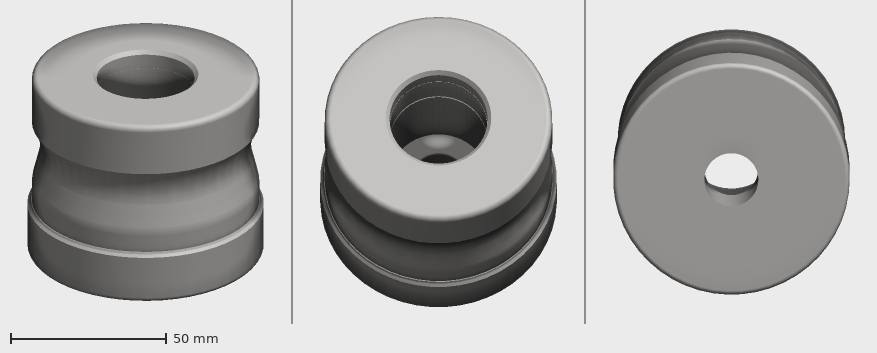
import cadquery as cq
import math

total_height = 63.0
base_radius = 38.1
base_height = 17.7
body_radius = 36.65

base_bottom_fillet = 1.5
base_chamfer_start = 16.2
base_chamfer = 0.85
base_rim_inset = 0.3
base_hole_radius = 8.7
base_hole_chamfer = 0.3

top_fillet = 1.9
shoulder_z = 45.95
throat_radius = 34.0
waist_arc_radius = 15.0
cone_angle = math.radians(14)
blend_radius = 10.0

mouth_chamfer = 1.2
counterbore_radius = 15.8
counterbore_depth = 6.0
bore_radius = 15.7
groove_depth = 0.3
groove_width = 0.85
groove_top_z = 46.4


def make_base():
    """Round base with a softened rim and a chamfered centre hole."""
    chamfer_end_radius = base_radius - base_chamfer
    chamfer_end_z = base_chamfer_start + base_chamfer
    fillet_mid = base_bottom_fillet * (1 - math.sqrt(0.5))
    profile = (
        cq.Workplane("XZ")
        .moveTo(base_hole_radius, 0)
        .lineTo(base_radius - base_bottom_fillet, 0)
        .threePointArc((base_radius - fillet_mid, fillet_mid), (base_radius, base_bottom_fillet))
        .lineTo(base_radius, base_chamfer_start)
        .lineTo(chamfer_end_radius, chamfer_end_z)
        .lineTo(chamfer_end_radius - base_rim_inset, base_height)
        .lineTo(base_hole_radius + base_hole_chamfer, base_height)
        .lineTo(base_hole_radius, base_height - base_hole_chamfer)
        .close()
    )
    return profile.revolve(360, (0, 0, 0), (0, 1, 0))


def make_body_blank():
    """Waisted solid of revolution standing on the base."""
    waist_center_r = throat_radius + waist_arc_radius
    waist_center_z = shoulder_z - math.sqrt(
        waist_arc_radius**2 - (waist_center_r - body_radius) ** 2
    )

    cone_top_r = waist_center_r - waist_arc_radius * math.cos(cone_angle)
    cone_top_z = waist_center_z - waist_arc_radius * math.sin(cone_angle)
    blend_center_r = body_radius - blend_radius
    cone_bottom_r = blend_center_r + blend_radius * math.cos(cone_angle)
    cone_bottom_z = cone_top_z - (cone_bottom_r - cone_top_r) / math.tan(cone_angle)
    blend_center_z = cone_bottom_z - blend_radius * math.sin(cone_angle)
    blend_mid = (
        blend_center_r + blend_radius * math.cos(cone_angle / 2),
        blend_center_z + blend_radius * math.sin(cone_angle / 2),
    )

    fillet_mid = top_fillet * (1 - math.sqrt(0.5))
    profile = (
        cq.Workplane("XZ")
        .moveTo(0, base_height)
        .lineTo(body_radius, base_height)
        .lineTo(body_radius, blend_center_z)
        .threePointArc(blend_mid, (cone_bottom_r, cone_bottom_z))
        .lineTo(cone_top_r, cone_top_z)
        .threePointArc((throat_radius, waist_center_z), (body_radius, shoulder_z))
        .lineTo(body_radius, total_height - top_fillet)
        .threePointArc(
            (body_radius - fillet_mid, total_height - fillet_mid),
            (body_radius - top_fillet, total_height),
        )
        .lineTo(0, total_height)
        .close()
    )
    return profile.revolve(360, (0, 0, 0), (0, 1, 0))


def make_bore():
    """Space inside the body: chamfered counterbore, bore and a shallow ring groove."""
    counterbore_z = total_height - counterbore_depth
    groove_bottom_z = groove_top_z - groove_width
    groove_radius = bore_radius + groove_depth
    profile = (
        cq.Workplane("XZ")
        .moveTo(0, base_height)
        .lineTo(bore_radius, base_height)
        .lineTo(bore_radius, groove_bottom_z)
        .lineTo(groove_radius, groove_bottom_z)
        .lineTo(groove_radius, groove_top_z)
        .lineTo(bore_radius, groove_top_z)
        .lineTo(bore_radius, counterbore_z)
        .lineTo(counterbore_radius, counterbore_z)
        .lineTo(counterbore_radius, total_height - mouth_chamfer)
        .lineTo(counterbore_radius + mouth_chamfer, total_height)
        .lineTo(0, total_height)
        .close()
    )
    return profile.revolve(360, (0, 0, 0), (0, 1, 0))


base = make_base()
body = make_body_blank().cut(make_bore())

result = cq.Compound.makeCompound([base.val(), body.val()])